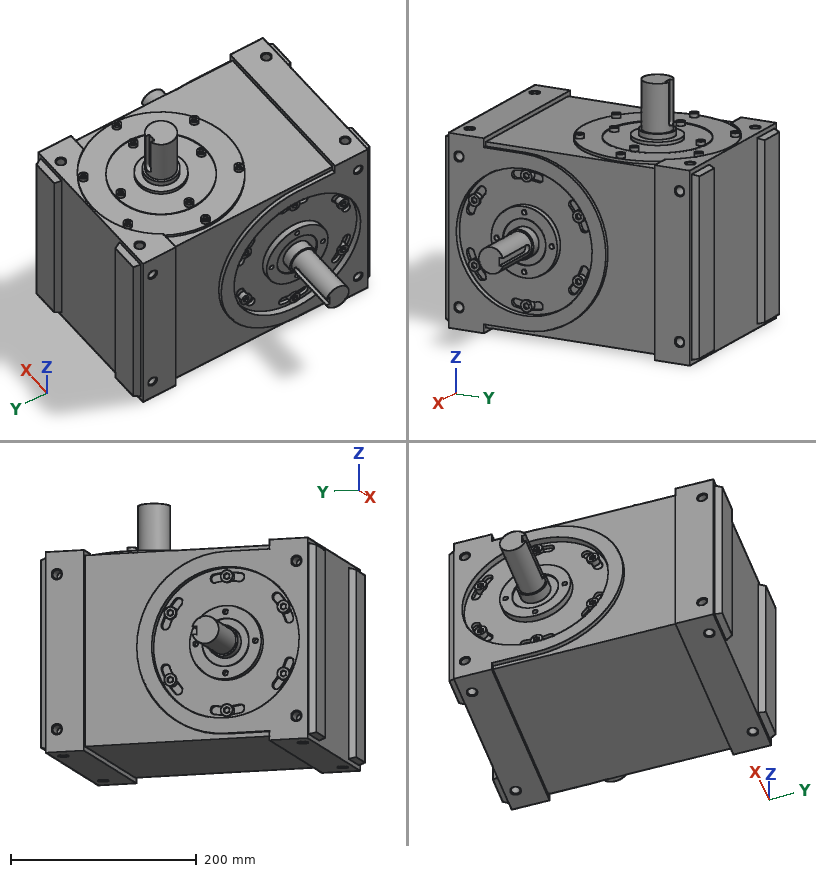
import cadquery as cq
import math

block_x = 198.5
block_y = 294.7
block_z = 220.0
end_length = 43.0
waist_x = 189.0
waist_step_z = 5.2
side_x = block_x / 2
top_z = block_z / 2
waist_top_z = top_z - waist_step_z
shaft_offset = 55.0

pad_height = 7.7
pad_width = 40.0
pad_margin_x = 4.5
pad_margin_z = 5.2
pad_taper_x = 3.0
pad_taper_z = 2.0

mount_radius = 5.0
mount_depth = 17.5
mount_tip_angle = 118
mount_chamfer = 1.0
mount_x = 74.5
mount_y = 134.8
mount_z = 85.0

boss_radius = 99.8
pocket_radius = 83.0
pocket_depth = 7.5
hub_radius = 40.2
hub_hole_radius = 2.8
hub_hole_circle = 33.5
hub_hole_depth = 7.0
hub_hole_count = 4
seal_radius = 26.2
seal_depth = 1.8
slot_circle = 73.5
slot_width = 9.5
slot_half_angle = 11.2
slot_depth = 4.2
slot_count = 6
input_collar_radius = 17.0
input_collar_end_x = 110.0
input_shaft_radius = 15.0
input_shaft_end_x = 175.0
input_key_width = 9.0
input_key_depth = 5.2
input_key_length = 60.0
side_head_radius = 6.5
side_head_height = 7.0
side_hex_size = 7.0

flange_radius = 90.3
flange_thickness = 3.0
cover_radius = 59.5
cover_depth = 1.0
ring_radius = 29.0
ring_height = 4.0
output_collar_radius = 20.3
output_collar_height = 7.0
output_collar_top_z = top_z + output_collar_height
output_shaft_radius = 17.5
output_shaft_height = 63.0
output_shaft_top_z = top_z + output_shaft_height
output_key_width = 10.0
output_key_depth = 5.2
output_key_length = 50.0
flange_screw_circle = 84.0
flange_screw_count = 6
cover_screw_circle = 53.0
cover_screw_count = 4
top_head_radius = 5.0
top_head_height = 4.2
top_hex_size = 5.5

hex_depth = 2.8
flange_top_z = waist_top_z + flange_thickness
cover_z = flange_top_z - cover_depth
floor_x = side_x - pocket_depth


def cylinder(radius, start, end):
    """Cylinder on the Z axis from start to end."""
    return cq.Workplane("XY").workplane(offset=start).circle(radius).extrude(end - start)


def ring_points(radius, count):
    """Points evenly spaced round a circle."""
    angles = [math.radians(360 / count * i) for i in range(count)]
    return [(radius * math.cos(a), radius * math.sin(a)) for a in angles]


def screw_heads(points, base, radius, height, hex_size):
    """Cap screw heads with hexagon sockets, standing on the plane z = base."""
    heads = cq.Workplane("XY").workplane(offset=base).pushPoints(points).circle(radius).extrude(height)
    sockets = (
        cq.Workplane("XY").workplane(offset=base + height)
        .pushPoints(points).polygon(6, hex_size).extrude(-hex_depth)
    )
    return heads.cut(sockets)


def keyway(shaft_radius, end, width, depth, length):
    """Keyway cutter on the +Y side of a Z shaft: open at the shaft end, round at the other."""
    floor = shaft_radius - depth
    round_centre = end - length + width / 2
    return (
        cq.Workplane("XZ", origin=(0, floor, 0))
        .moveTo(-width / 2, end)
        .lineTo(-width / 2, round_centre)
        .threePointArc((0, end - length), (width / 2, round_centre))
        .lineTo(width / 2, end)
        .close()
        .extrude(-2 * depth)
    )


def place_output(shape):
    """Move a shape built on the Z axis to the output axis."""
    return shape.translate((0, shaft_offset, 0))


def place_input(shape):
    """Turn a shape built on the Z axis onto the input axis, facing +X, keeping +Y as +Y."""
    return shape.rotate((0, 0, 0), (0, 1, 0), 90).translate((0, -shaft_offset, 0))


def both_sides(shape):
    """The shape together with its mirror image across X = 0."""
    return shape.union(shape.mirror("YZ"))


def housing():
    body = cq.Workplane("XY").box(waist_x, block_y - end_length, 2 * waist_top_z)
    slab = cq.Workplane("XY").box(block_x, end_length, block_z)
    slab_y = (block_y - end_length) / 2
    for y in (-slab_y, slab_y):
        body = body.union(slab.translate((0, y, 0)))
    boss = (
        cq.Workplane("YZ", origin=(-side_x, 0, 0))
        .moveTo(-slab_y, -boss_radius)
        .lineTo(-shaft_offset, -boss_radius)
        .threePointArc((boss_radius - shaft_offset, 0), (-shaft_offset, boss_radius))
        .lineTo(-slab_y, boss_radius)
        .close()
        .extrude(block_x)
    )
    return body.union(boss)


def pad(x, direction):
    """Tapered pad on the Y face that points in the given direction."""
    length = block_z - 2 * pad_margin_z
    plane = cq.Plane(origin=(x, direction * block_y / 2, 0), xDir=(1, 0, 0), normal=(0, direction, 0))
    return (
        cq.Workplane(plane)
        .rect(pad_width, length)
        .workplane(offset=pad_height)
        .rect(pad_width - 2 * pad_taper_x, length - 2 * pad_taper_z)
        .loft(ruled=True)
    )


def pads():
    pad_x = side_x - pad_margin_x - pad_width / 2
    all_pads = cq.Workplane("XY")
    for x in (-pad_x, pad_x):
        for direction in (-1, 1):
            all_pads = all_pads.add(pad(x, direction))
    return all_pads.combine()


def mount_hole():
    """Drilled hole cutter pointing down: chamfered mouth at z = 0 and a conical tip."""
    tip_length = mount_radius / math.tan(math.radians(mount_tip_angle / 2))
    mouth_radius = mount_radius + mount_chamfer
    return (
        cq.Workplane("XZ")
        .polyline([
            (0, 0), (mouth_radius, 0), (mount_radius, -mount_chamfer),
            (mount_radius, -mount_depth), (0, -mount_depth - tip_length),
        ])
        .close()
        .revolve(360, (0, 0, 0), (0, 1, 0))
    )


def mount_holes():
    down = mount_hole().translate((0, 0, top_z))
    inward = mount_hole().rotate((0, 0, 0), (0, 1, 0), 90).translate((side_x, 0, 0))
    holes = cq.Workplane("XY")
    for y in (-mount_y, mount_y):
        for sign in (-1, 1):
            upper = down.translate((sign * mount_x, y, 0))
            holes = holes.add(upper).add(upper.mirror("XY"))
            side = inward.translate((0, y, sign * mount_z))
            holes = holes.add(side).add(side.mirror("YZ"))
    return holes.combine()


def arc_slot():
    """Slot cutter curved round the axis, its middle on the +X axis, sunk into the pocket floor."""
    def polar(radius, degrees):
        angle = math.radians(degrees)
        return (radius * math.cos(angle), radius * math.sin(angle))

    inner = slot_circle - slot_width / 2
    outer = slot_circle + slot_width / 2
    end_bulge = math.degrees(slot_width / 2 / slot_circle)
    return (
        cq.Workplane("XY").workplane(offset=floor_x)
        .moveTo(*polar(outer, -slot_half_angle))
        .threePointArc((outer, 0), polar(outer, slot_half_angle))
        .threePointArc(polar(slot_circle, slot_half_angle + end_bulge), polar(inner, slot_half_angle))
        .threePointArc((inner, 0), polar(inner, -slot_half_angle))
        .threePointArc(polar(slot_circle, -slot_half_angle - end_bulge), polar(outer, -slot_half_angle))
        .close()
        .extrude(-slot_depth)
    )


def input_cuts():
    """Ring pocket round the hub, seal recess, hub holes and arc slots."""
    cuts = cylinder(pocket_radius, floor_x, side_x).cut(cylinder(hub_radius, floor_x, side_x))
    cuts = cuts.union(cylinder(seal_radius, side_x - seal_depth, side_x))
    hub_holes = (
        cq.Workplane("XY").workplane(offset=side_x)
        .pushPoints(ring_points(hub_hole_circle, hub_hole_count))
        .circle(hub_hole_radius).extrude(-hub_hole_depth)
    )
    cuts = cuts.union(hub_holes)
    for i in range(slot_count):
        cuts = cuts.union(arc_slot().rotate((0, 0, 0), (0, 0, 1), 360 / slot_count * i))
    return both_sides(place_input(cuts))


def input_solids():
    """Collar, keyed shaft and the screws in the slots."""
    shaft = cylinder(input_shaft_radius, 0, input_shaft_end_x)
    shaft = shaft.cut(keyway(
        input_shaft_radius, input_shaft_end_x, input_key_width, input_key_depth, input_key_length))
    shaft = shaft.union(cylinder(input_collar_radius, 0, input_collar_end_x))
    seat = floor_x - slot_depth
    heads = screw_heads(
        ring_points(slot_circle, slot_count), seat,
        side_head_radius, side_head_height, side_hex_size)
    return both_sides(place_input(shaft.union(heads)))


def output_flange():
    """Round flange standing on the middle of the housing."""
    return place_output(cylinder(flange_radius, waist_top_z, flange_top_z))


def output_cuts():
    """Clears the +Y slab above the flange and sinks the cover."""
    clearance = cylinder(flange_radius, flange_top_z, top_z)
    return place_output(clearance.union(cylinder(cover_radius, cover_z, flange_top_z)))


def output_solids():
    """Ring, collar, keyed shaft and screws."""
    shaft = cylinder(output_shaft_radius, 0, output_shaft_top_z)
    shaft = shaft.cut(keyway(
        output_shaft_radius, output_shaft_top_z, output_key_width, output_key_depth, output_key_length))
    shaft = shaft.union(cylinder(output_collar_radius, 0, output_collar_top_z))
    shaft = shaft.union(cylinder(ring_radius, cover_z, cover_z + ring_height))
    flange_heads = screw_heads(
        ring_points(flange_screw_circle, flange_screw_count), flange_top_z,
        top_head_radius, top_head_height, top_hex_size)
    cover_heads = screw_heads(
        ring_points(cover_screw_circle, cover_screw_count), cover_z,
        top_head_radius, top_head_height, top_hex_size)
    return place_output(shaft.union(flange_heads).union(cover_heads))


result = housing().union(pads()).union(output_flange())
result = result.cut(mount_holes()).cut(input_cuts()).cut(output_cuts())
result = result.union(input_solids()).union(output_solids())